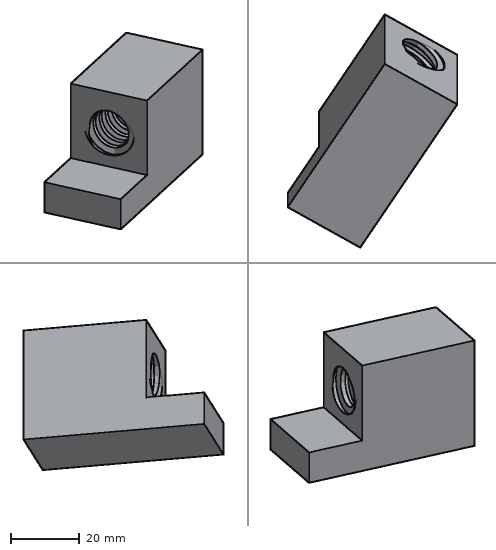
import cadquery as cq
import math

width = 25.0
length = 54.5
height = 34.5
foot_length = 17.5
foot_height = 10.0

bore_radius = 6.25
root_radius = 8.25
pitch = 4.0
root_flat = 1.35
flank_angle = 15.0
start_angle = 66.0
radial_overlap = 0.2
bore_height = height - width / 2


def make_body():
    """L-shaped side profile extruded across the width, centred on X."""
    profile = [
        (0, 0),
        (length, 0),
        (length, height),
        (foot_length, height),
        (foot_length, foot_height),
        (0, foot_height),
    ]
    return cq.Workplane("YZ").polyline(profile).close().extrude(width / 2, both=True)


def place_along_bore(shape, y_start):
    """Turn a shape built on +Z to run along +Y on the bore axis."""
    return shape.rotate((0, 0, 0), (1, 0, 0), -90).translate((0, y_start, bore_height))


def make_bore():
    """Plain minor-diameter hole through the block above the foot."""
    bore = cq.Workplane("XY").circle(bore_radius).extrude(length - foot_length)
    return place_along_bore(bore, foot_length)


def make_thread_groove():
    """Helical trapezoidal groove, overrunning both faces of the block."""
    inner_radius = bore_radius - radial_overlap
    half_root = root_flat / 2
    flank_run = (root_radius - inner_radius) * math.tan(math.radians(flank_angle))
    half_mouth = half_root + flank_run
    turns = math.ceil((length - foot_length) / pitch) + 2
    helix = cq.Wire.makeHelix(pitch, turns * pitch, bore_radius)
    section = [
        (inner_radius, -half_mouth),
        (root_radius, -half_root),
        (root_radius, half_root),
        (inner_radius, half_mouth),
    ]
    groove = (
        cq.Workplane("XZ")
        .polyline(section)
        .close()
        .sweep(cq.Workplane(obj=helix), isFrenet=True)
        .rotate((0, 0, 0), (0, 0, 1), start_angle)
    )
    return place_along_bore(groove, foot_length - pitch)


result = make_body().cut(make_thread_groove()).cut(make_bore())